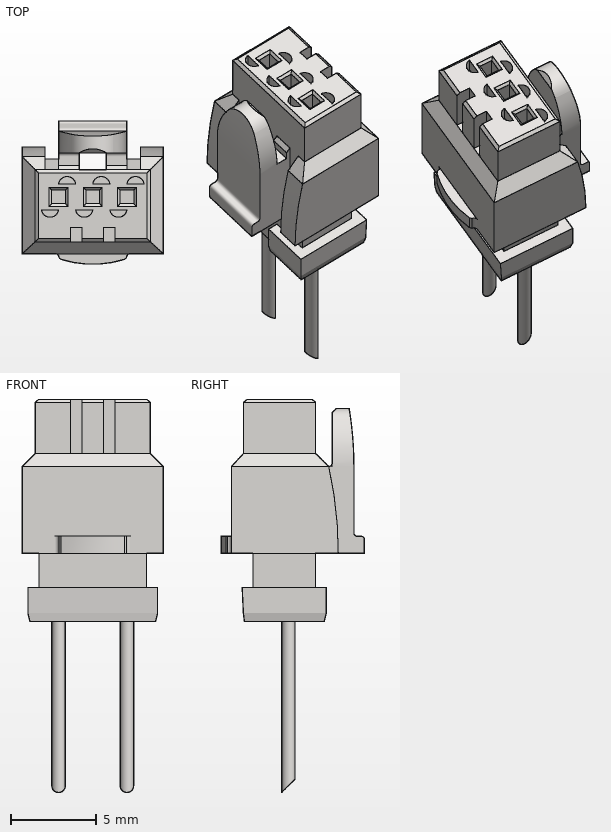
import cadquery as cq
import math


OVERALL_DEPTH_Y = 8.4
OVERALL_HEIGHT_Z = 23.0

HOUSING_HALF_X = 4.13
HOUSING_FRONT_Y = -3.33
HOUSING_BACK_Y = 2.92
SHOULDER_Z = 5.08
SHOULDER_RISE = 0.76
SHOULDER_TOP_Z = SHOULDER_Z + SHOULDER_RISE
BACK_CURVE_DEPTH = 0.56

NOSE_HALF_X = HOUSING_HALF_X - SHOULDER_RISE
NOSE_FRONT_SETBACK = 0.7
NOSE_FRONT_Y = HOUSING_FRONT_Y + NOSE_FRONT_SETBACK
NOSE_BACK_Y = HOUSING_BACK_Y - BACK_CURVE_DEPTH - SHOULDER_RISE
NOSE_TOP_Z = 9.0
NOSE_CHAMFER_SIDE = 0.2
NOSE_CHAMFER_DROP = 0.17

GROOVE_WIDTH = 0.65
GROOVE_SPACING = 1.93
GROOVE_DEPTH = 0.85

SOCKET_PITCH = 2.0
SOCKET_SIZE = 0.8
SOCKET_MOUTH = 1.1
SOCKET_MOUTH_DEPTH = 0.15
SOCKET_DEPTH = 3.0
RECESS_HALF_WIDTH = 0.5
RECESS_HEIGHT = 0.43
RECESS_DEPTH = 1.0
RECESS_FLAT_Y = 0.76
RECESS_SHIFT_X = 0.5

SLOT_HALF_X = 2.78
LATCH_HALF_X = 1.99
LATCH_INNER_Y = 2.56
LATCH_OUTER_Y = 3.84
LATCH_TOP_Z = 8.48
LATCH_CROWN_RADIUS = 1.45
LATCH_CROWN_HALF_X = 1.21
LATCH_OUTER_LEAN = 0.28
LATCH_TIP_CHAMFER = 0.25
LEG_INNER_X = 0.78
LEG_STEP_Y = 1.85
LEG_FILLET = 0.2
FOOT_BACK_Y = 4.45
FOOT_HEIGHT = 1.0
FOOT_FILLET = 0.19

RIB_HEIGHT = 1.0
RIB_HALF_X = 2.2
RIB_ROOT_FILLET = 0.22
RIB_NECK_HALF_X = RIB_HALF_X - RIB_ROOT_FILLET
RIB_NECK_Y = HOUSING_FRONT_Y - RIB_ROOT_FILLET
RIB_FACE_HALF_X = 1.86
RIB_END_HEIGHT = 0.33
RIB_FACE_Y = HOUSING_FRONT_Y - RIB_END_HEIGHT
RIB_FRONT_Y = FOOT_BACK_Y - OVERALL_DEPTH_Y

NECK_HALF_X = 3.15
NECK_FRONT_Y = -2.08
COLLAR_HALF_X = 3.8
COLLAR_FRONT_Y = -2.71
COLLAR_BACK_Y = 2.22
COLLAR_TOP_Z = -2.0
COLLAR_EDGE_Z = -3.52
COLLAR_BOTTOM_Z = -4.0
COLLAR_FRONT_DRAFT = 0.07
COLLAR_TAPER = 0.12
COLLAR_FRONT_TAPER = 0.06

PIN_DIAMETER = 0.8
PIN_X = 2.0
PIN_TIP_Z = NOSE_TOP_Z - OVERALL_HEIGHT_Z


def block(x_min, x_max, y_min, y_max, z_min, z_max):
    """Axis-aligned box between the given limits."""
    box = cq.Workplane("XY").box(x_max - x_min, y_max - y_min, z_max - z_min, centered=False)
    return box.translate((x_min, y_min, z_min))


def frustum(half_x_low, front_low, back_low, z_low, half_x_high, front_high, back_high, z_high):
    """Loft between two rectangles that are symmetric in X."""
    low = cq.Workplane("XY", origin=(0, (front_low + back_low) / 2, z_low))
    low = low.rect(2 * half_x_low, back_low - front_low)
    shift_y = (front_high + back_high - front_low - back_low) / 2
    high = low.workplane(offset=z_high - z_low).center(0, shift_y)
    return high.rect(2 * half_x_high, back_high - front_high).loft(ruled=True)


def side_profile(half_x):
    """YZ sketch plane at X = -half_x, to be extruded over 2 * half_x."""
    return cq.Workplane("YZ", origin=(-half_x, 0, 0))


def arc_offset(height, total_height, total_offset):
    """Sideways offset at a height of an arc that starts vertical at height zero."""
    radius = (total_height**2 + total_offset**2) / (2 * total_offset)
    return radius - math.sqrt(radius**2 - height**2)


def make_housing():
    shoulder_back_y = HOUSING_BACK_Y - BACK_CURVE_DEPTH
    middle_z = SHOULDER_Z / 2
    middle_y = HOUSING_BACK_Y - arc_offset(middle_z, SHOULDER_Z, BACK_CURVE_DEPTH)
    body = (
        side_profile(HOUSING_HALF_X)
        .moveTo(HOUSING_FRONT_Y, 0)
        .lineTo(HOUSING_BACK_Y, 0)
        .threePointArc((middle_y, middle_z), (shoulder_back_y, SHOULDER_Z))
        .lineTo(HOUSING_FRONT_Y, SHOULDER_Z)
        .close()
        .extrude(2 * HOUSING_HALF_X)
    )
    shoulder = frustum(
        HOUSING_HALF_X, HOUSING_FRONT_Y, shoulder_back_y, SHOULDER_Z,
        NOSE_HALF_X, NOSE_FRONT_Y, NOSE_BACK_Y, SHOULDER_TOP_Z,
    )
    slot = block(-SLOT_HALF_X, SLOT_HALF_X, NOSE_BACK_Y, HOUSING_BACK_Y, 0, SHOULDER_TOP_Z)
    return body.union(shoulder).cut(slot)


def make_nose():
    chamfer_z = NOSE_TOP_Z - NOSE_CHAMFER_DROP
    tip = frustum(
        NOSE_HALF_X, NOSE_FRONT_Y, NOSE_BACK_Y, chamfer_z,
        NOSE_HALF_X - NOSE_CHAMFER_SIDE, NOSE_FRONT_Y + NOSE_CHAMFER_SIDE,
        NOSE_BACK_Y - NOSE_CHAMFER_SIDE, NOSE_TOP_Z,
    )
    straight = block(-NOSE_HALF_X, NOSE_HALF_X, NOSE_FRONT_Y, NOSE_BACK_Y, SHOULDER_TOP_Z, chamfer_z)
    nose = straight.union(tip)
    for side in (-1, 1):
        middle_x = side * GROOVE_SPACING / 2
        nose = nose.cut(
            block(
                middle_x - GROOVE_WIDTH / 2, middle_x + GROOVE_WIDTH / 2,
                NOSE_FRONT_Y, NOSE_FRONT_Y + GROOVE_DEPTH,
                SHOULDER_TOP_Z, NOSE_TOP_Z,
            )
        )
    return nose


def socket_cutter(x):
    """Square socket with a flared mouth."""
    half_size = SOCKET_SIZE / 2
    half_mouth = SOCKET_MOUTH / 2
    hole = block(
        -half_size, half_size, -half_size, half_size, NOSE_TOP_Z - SOCKET_DEPTH, NOSE_TOP_Z
    )
    mouth = frustum(
        half_size, -half_size, half_size, NOSE_TOP_Z - SOCKET_MOUTH_DEPTH,
        half_mouth, -half_mouth, half_mouth, NOSE_TOP_Z,
    )
    return hole.union(mouth).translate((x, 0, 0))


def recess_cutter(x, side):
    """Arched recess whose flat faces the socket row; side is +1 behind it, -1 in front."""
    flat_y = side * RECESS_FLAT_Y
    return (
        cq.Workplane("XY", origin=(x, flat_y, NOSE_TOP_Z))
        .moveTo(-RECESS_HALF_WIDTH, 0)
        .threePointArc((0, side * RECESS_HEIGHT), (RECESS_HALF_WIDTH, 0))
        .close()
        .extrude(-RECESS_DEPTH)
    )


def make_latch():
    """Arched plate whose outer face leans inward above the shoulder, with a foot at the bottom."""
    lean_height = LATCH_TOP_Z - SHOULDER_Z
    lean_middle_z = SHOULDER_Z + lean_height / 2
    lean_middle_y = LATCH_OUTER_Y - arc_offset(lean_height / 2, lean_height, LATCH_OUTER_LEAN)
    plate = (
        side_profile(LATCH_HALF_X)
        .moveTo(LATCH_INNER_Y, 0)
        .lineTo(FOOT_BACK_Y, 0)
        .lineTo(FOOT_BACK_Y, FOOT_HEIGHT - FOOT_FILLET)
        .radiusArc((FOOT_BACK_Y - FOOT_FILLET, FOOT_HEIGHT), -FOOT_FILLET)
        .lineTo(LATCH_OUTER_Y + FOOT_FILLET, FOOT_HEIGHT)
        .radiusArc((LATCH_OUTER_Y, FOOT_HEIGHT + FOOT_FILLET), FOOT_FILLET)
        .lineTo(LATCH_OUTER_Y, SHOULDER_Z)
        .threePointArc((lean_middle_y, lean_middle_z), (LATCH_OUTER_Y - LATCH_OUTER_LEAN, LATCH_TOP_Z))
        .lineTo(LATCH_INNER_Y + LATCH_TIP_CHAMFER, LATCH_TOP_Z)
        .lineTo(LATCH_INNER_Y, LATCH_TOP_Z - LATCH_TIP_CHAMFER)
        .close()
        .extrude(2 * LATCH_HALF_X)
    )
    crown_drop = LATCH_CROWN_RADIUS - math.sqrt(LATCH_CROWN_RADIUS**2 - LATCH_CROWN_HALF_X**2)
    crown_z = LATCH_TOP_Z - crown_drop
    flank_height = crown_z - SHOULDER_Z
    flank_middle_x = LATCH_HALF_X - arc_offset(
        flank_height / 2, flank_height, LATCH_HALF_X - LATCH_CROWN_HALF_X
    )
    flank_middle_z = SHOULDER_Z + flank_height / 2
    arch = (
        cq.Workplane("XZ", origin=(0, FOOT_BACK_Y, 0))
        .moveTo(-LATCH_HALF_X, 0)
        .lineTo(-LATCH_HALF_X, SHOULDER_Z)
        .threePointArc((-flank_middle_x, flank_middle_z), (-LATCH_CROWN_HALF_X, crown_z))
        .threePointArc((0, LATCH_TOP_Z), (LATCH_CROWN_HALF_X, crown_z))
        .threePointArc((flank_middle_x, flank_middle_z), (LATCH_HALF_X, SHOULDER_Z))
        .lineTo(LATCH_HALF_X, 0)
        .close()
        .extrude(FOOT_BACK_Y - LATCH_INNER_Y)
    )
    return plate.intersect(arch)


def make_leg(x_min):
    """Web from the housing to the latch, with a fillet against the latch."""
    step_z = SHOULDER_TOP_Z - (LEG_STEP_Y - NOSE_BACK_Y)
    return (
        cq.Workplane("YZ", origin=(x_min, 0, 0))
        .moveTo(NOSE_BACK_Y, 0)
        .lineTo(LATCH_INNER_Y, 0)
        .lineTo(LATCH_INNER_Y, SHOULDER_Z + LEG_FILLET)
        .radiusArc((LATCH_INNER_Y - LEG_FILLET, SHOULDER_Z), LEG_FILLET)
        .lineTo(LEG_STEP_Y, SHOULDER_Z)
        .lineTo(LEG_STEP_Y, step_z)
        .lineTo(NOSE_BACK_Y, SHOULDER_TOP_Z)
        .close()
        .extrude(LATCH_HALF_X - LEG_INNER_X)
    )


def make_rib():
    return (
        cq.Workplane("XY")
        .moveTo(-RIB_HALF_X, HOUSING_FRONT_Y)
        .radiusArc((-RIB_NECK_HALF_X, RIB_NECK_Y), RIB_ROOT_FILLET)
        .lineTo(-RIB_FACE_HALF_X, RIB_FACE_Y)
        .threePointArc((0, RIB_FRONT_Y), (RIB_FACE_HALF_X, RIB_FACE_Y))
        .lineTo(RIB_NECK_HALF_X, RIB_NECK_Y)
        .radiusArc((RIB_HALF_X, HOUSING_FRONT_Y), RIB_ROOT_FILLET)
        .close()
        .extrude(RIB_HEIGHT)
    )


def make_neck_and_collar():
    neck = block(-NECK_HALF_X, NECK_HALF_X, NECK_FRONT_Y, NOSE_BACK_Y, COLLAR_TOP_Z, 0)
    edge_front_y = COLLAR_FRONT_Y + COLLAR_FRONT_DRAFT
    collar = frustum(
        COLLAR_HALF_X, edge_front_y, COLLAR_BACK_Y, COLLAR_EDGE_Z,
        COLLAR_HALF_X, COLLAR_FRONT_Y, COLLAR_BACK_Y, COLLAR_TOP_Z,
    )
    taper = frustum(
        COLLAR_HALF_X - COLLAR_TAPER, edge_front_y + COLLAR_FRONT_TAPER,
        COLLAR_BACK_Y - COLLAR_TAPER, COLLAR_BOTTOM_Z,
        COLLAR_HALF_X, edge_front_y, COLLAR_BACK_Y, COLLAR_EDGE_Z,
    )
    notch = block(
        -LEG_INNER_X, LEG_INNER_X, NOSE_BACK_Y, COLLAR_BACK_Y, COLLAR_BOTTOM_Z, COLLAR_TOP_Z
    )
    return neck.union(collar).union(taper).cut(notch)


def make_pin(x):
    """Round pin whose end is cut at 45 degrees, longest at the front."""
    radius = PIN_DIAMETER / 2
    length = COLLAR_BOTTOM_Z - PIN_TIP_Z
    pin = cq.Workplane("XY", origin=(x, 0, PIN_TIP_Z)).circle(radius).extrude(length)
    bevel = (
        cq.Workplane("YZ", origin=(x - radius, 0, 0))
        .moveTo(-radius, PIN_TIP_Z)
        .lineTo(radius, PIN_TIP_Z)
        .lineTo(radius, PIN_TIP_Z + PIN_DIAMETER)
        .close()
        .extrude(PIN_DIAMETER)
    )
    return pin.cut(bevel)


result = make_housing().union(make_nose()).union(make_latch()).union(make_rib())
result = result.union(make_neck_and_collar())
for leg_x in (-LATCH_HALF_X, LEG_INNER_X):
    result = result.union(make_leg(leg_x))
for pin_x in (-PIN_X, PIN_X):
    result = result.union(make_pin(pin_x))
for position in (-1, 0, 1):
    socket_x = position * SOCKET_PITCH
    result = result.cut(socket_cutter(socket_x))
    for side in (-1, 1):
        result = result.cut(recess_cutter(socket_x + side * RECESS_SHIFT_X, side))